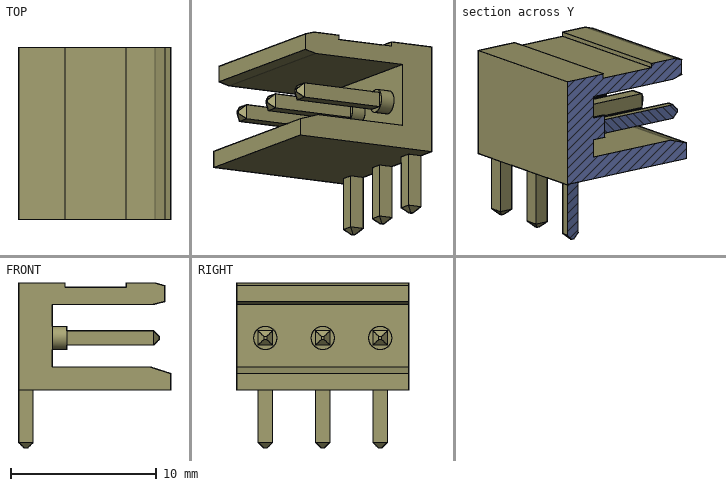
import cadquery as cq


contact_count = 3
pitch = 3.96
contact_rows = [(i - (contact_count - 1) / 2) * pitch for i in range(contact_count)]

housing_width = contact_count * pitch
housing_height = 7.4
back_wall = 2.33

lower_arm_length = 10.49
lower_arm_thickness = 1.6
lower_lead_in_length = 1.4
lower_lead_in_depth = 0.45

upper_arm_length = 10.07
upper_arm_underside = 5.9
upper_lead_in_length = 0.68
upper_underside_lead_in_length = 0.8
upper_lead_in_depth = 0.2

recess_start = 3.2
recess_end = 7.4
recess_depth = 0.3

boss_diameter = 1.6
boss_length = 1.0
boss_end = back_wall + boss_length

pin_side = 1.005
pin_taper = 0.4
mating_pin_height = 3.6
mating_pin_tip = 9.7
solder_pin_length = 4.0


def make_housing():
    """C-shaped shell with a boss on its back wall for every mating pin."""
    profile = [
        (0, 0),
        (lower_arm_length, 0),
        (lower_arm_length, lower_arm_thickness - lower_lead_in_depth),
        (lower_arm_length - lower_lead_in_length, lower_arm_thickness),
        (back_wall, lower_arm_thickness),
        (back_wall, upper_arm_underside),
        (upper_arm_length - upper_underside_lead_in_length, upper_arm_underside),
        (upper_arm_length, upper_arm_underside + upper_lead_in_depth),
        (upper_arm_length, housing_height - upper_lead_in_depth),
        (upper_arm_length - upper_lead_in_length, housing_height),
        (recess_end, housing_height),
        (recess_end, housing_height - recess_depth),
        (recess_start, housing_height - recess_depth),
        (recess_start, housing_height),
        (0, housing_height),
    ]
    body = cq.Workplane("XZ").polyline(profile).close().extrude(housing_width / 2, both=True)
    bosses = (
        cq.Workplane("YZ", origin=(back_wall, 0, mating_pin_height))
        .pushPoints([(y, 0) for y in contact_rows])
        .circle(boss_diameter / 2)
        .extrude(boss_length)
    )
    return body.union(bosses)


def make_mating_pin(y):
    """Horizontal pin that stands on the end of its boss and points along +X."""
    return (
        cq.Workplane("YZ", origin=(boss_end, y, mating_pin_height))
        .rect(pin_side, pin_side)
        .extrude(mating_pin_tip - boss_end)
        .faces(">X")
        .chamfer(pin_taper)
    )


def make_solder_pin(y):
    """Vertical pin under the housing, flush with the back face and pointing along -Z."""
    return (
        cq.Workplane("XY", origin=(pin_side / 2, y, 0))
        .rect(pin_side, pin_side)
        .extrude(-solder_pin_length)
        .faces("<Z")
        .chamfer(pin_taper)
    )


housing = make_housing()
mating_pins = [make_mating_pin(y) for y in contact_rows]
solder_pins = [make_solder_pin(y) for y in contact_rows]

result = cq.Compound.makeCompound([
    housing.val(),
    *[pin.val() for pin in mating_pins],
    *[pin.val() for pin in solder_pins],
])